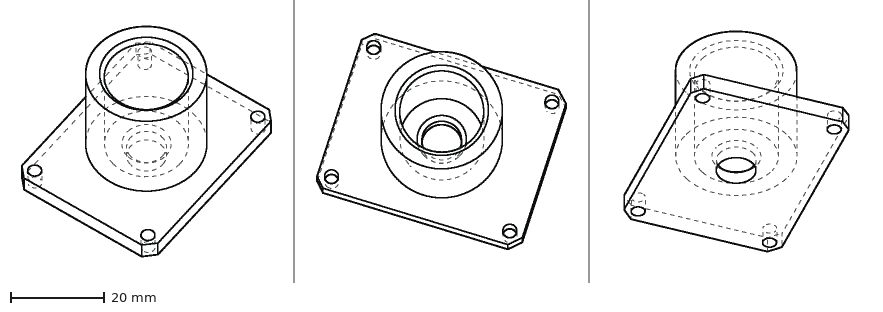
import cadquery as cq

plate_width = 36.0
plate_length = 46.0
plate_thickness = 4.0

back_left_cut = (2.15, 2.02)
back_right_cut = (2.15, 2.3)
front_left_cut = (2.4, 2.5)
front_right_cut = (2.5, 2.5)

mount_hole_diameter = 3.0
mount_spacing_x = 30.0
mount_spacing_y = 40.0

total_height = 28.0
tube_diameter = 26.0
bore_diameter = 18.0
bore_chamfer = 1.0
bore_floor = plate_thickness

center_hole_diameter = 8.5
center_hole_chamfer = 1.0


def corner_wedge(side_x, side_y, cut):
    """Triangular prism that bevels one vertical corner of the plate."""
    corner_x = side_x * plate_width / 2
    corner_y = side_y * plate_length / 2
    cut_x, cut_y = cut
    return (
        cq.Workplane("XY")
        .moveTo(corner_x, corner_y)
        .lineTo(corner_x - side_x * cut_x, corner_y)
        .lineTo(corner_x, corner_y - side_y * cut_y)
        .close()
        .extrude(plate_thickness)
    )


def chamfered_cutter(diameter, bottom, top, chamfer):
    """Revolved cutter for a round hole with a 45 degree chamfer at its top."""
    radius = diameter / 2
    return (
        cq.Workplane("XZ")
        .moveTo(0, bottom)
        .lineTo(radius, bottom)
        .lineTo(radius, top - chamfer)
        .lineTo(radius + chamfer, top)
        .lineTo(0, top)
        .close()
        .revolve(360, (0, 0, 0), (0, 1, 0))
    )


plate = cq.Workplane("XY").box(plate_width, plate_length, plate_thickness, centered=(True, True, False))
corner_cuts = [
    (-1, 1, back_left_cut),
    (1, 1, back_right_cut),
    (-1, -1, front_left_cut),
    (1, -1, front_right_cut),
]
for side_x, side_y, cut in corner_cuts:
    plate = plate.cut(corner_wedge(side_x, side_y, cut))
plate = (
    plate.faces(">Z")
    .workplane(origin=(0, 0, plate_thickness))
    .rarray(mount_spacing_x, mount_spacing_y, 2, 2)
    .hole(mount_hole_diameter)
)

tube = cq.Workplane("XY").circle(tube_diameter / 2).extrude(total_height)
bore = chamfered_cutter(bore_diameter, bore_floor, total_height, bore_chamfer)
center_hole = chamfered_cutter(center_hole_diameter, 0, bore_floor, center_hole_chamfer)

result = plate.union(tube).cut(bore).cut(center_hole)